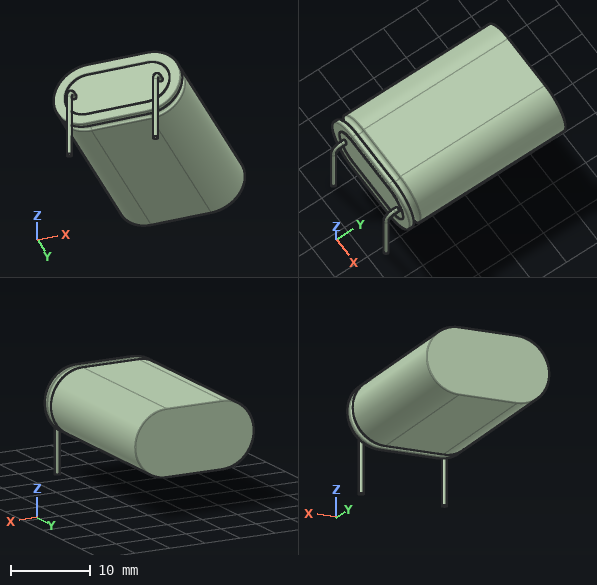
import cadquery as cq

can_width = 17.0
can_height = 9.0
can_length = 24.0
can_edge_radius = 0.1

groove_radius = 0.5
groove_offset = 1.2
groove_lip_radius = 0.1

rim_width = 1.5
seal_depth = 0.13
rim_edge_radius = 0.1

lead_diameter = 0.65
lead_spacing = 11.5
lead_reach = 2.0
lead_bend_radius = 1.25
lead_drop = 10.0


def obround(y, length, inset=0):
    """Obround bar starting at y and running toward +Y."""
    plane = cq.Workplane("XZ", origin=(0, y, 0))
    return plane.slot2D(can_width - 2 * inset, can_height - 2 * inset).extrude(-length)


def edges_near(body, y, reach):
    """Edges whose centres lie within reach of the given Y."""
    corner = (can_width, y - reach, can_height)
    opposite = (-can_width, y + reach, -can_height)
    return body.edges(cq.selectors.BoxSelector(corner, opposite))


def make_can():
    """Plain can with both end edges rounded."""
    can = obround(0, can_length)
    return can.faces("<Y or >Y").edges().fillet(can_edge_radius)


def cut_groove(can):
    """Half-round channel around the can, with softened lips."""
    path = cq.Workplane("XZ", origin=(0, groove_offset, 0)).slot2D(can_width, can_height)
    ring = (
        cq.Workplane("YZ", origin=(0, groove_offset, can_height / 2))
        .circle(groove_radius)
        .sweep(path)
    )
    grooved = can.cut(ring)
    for lip_y in (groove_offset - groove_radius, groove_offset + groove_radius):
        grooved = edges_near(grooved, lip_y, groove_lip_radius).fillet(groove_lip_radius)
    return grooved


def cut_seal_recess(can):
    """Shallow obround recess whose mouth rounds over into the rim."""
    recessed = can.cut(obround(0, seal_depth, rim_width))
    rim = recessed.faces("<Y").val()
    mouth = rim.innerWires()[0]
    return recessed.newObject(mouth.Edges()).fillet(rim_edge_radius)


def make_lead(x):
    """Wire along -Y from the seal, bent through a quarter turn to -Z."""
    drop_y = lead_diameter / 2 - lead_reach
    path = (
        cq.Workplane("YZ", origin=(x, 0, 0))
        .moveTo(seal_depth, 0)
        .lineTo(drop_y + lead_bend_radius, 0)
        .tangentArcPoint((drop_y, -lead_bend_radius), relative=False)
        .lineTo(drop_y, -lead_drop)
    )
    section = cq.Workplane("XZ", origin=(x, seal_depth, 0)).circle(lead_diameter / 2)
    return section.sweep(path)


result = cut_seal_recess(cut_groove(make_can()))
for lead_x in (-lead_spacing / 2, lead_spacing / 2):
    result = result.union(make_lead(lead_x))